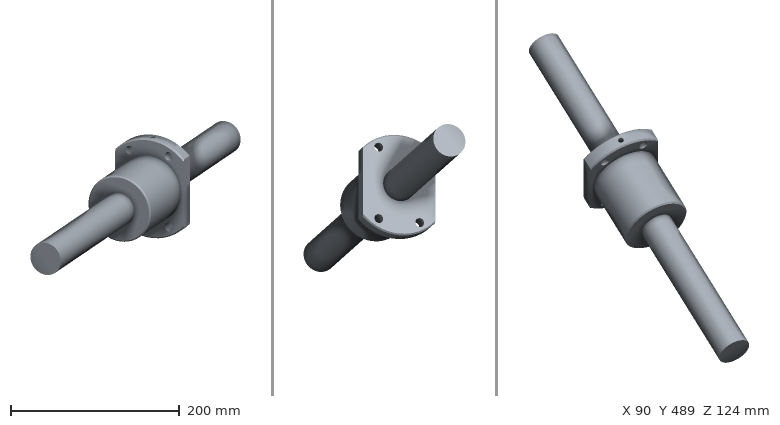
import cadquery as cq
import math

shaft_length = 489.0
shaft_diameter = 40.0

nut_front_y = -44.5
nut_length = 100.2
nut_diameter = 82.0
edge_chamfer = 1.7
flange_thickness = 18.0
flange_diameter = 124.0
flange_width = 90.0
flange_back_y = nut_front_y + nut_length
flange_front_y = flange_back_y - flange_thickness

bolt_hole_diameter = 11.0
bolt_circle_diameter = 102.0
bolt_angle = 30
bolt_spacing_x = bolt_circle_diameter * math.sin(math.radians(bolt_angle))
bolt_spacing_z = bolt_circle_diameter * math.cos(math.radians(bolt_angle))

port_y = flange_front_y + flange_thickness / 2
port_mouth_diameter = 8.0
port_diameter = 6.5
port_depth = 10.0
duct_diameter = 2.0


def cylinder_along_y(diameter, start_y, length):
    """Solid cylinder on the Y axis, growing toward +Y from start_y."""
    plane = cq.Plane(origin=(0, start_y, 0), xDir=(-1, 0, 0), normal=(0, 1, 0))
    return cq.Workplane(plane).circle(diameter / 2).extrude(length)


def cylinder_down_into_flange(diameter, depth):
    """Cylinder that goes down from the top of the flange at the port position."""
    plane = cq.Plane(origin=(0, port_y, flange_diameter / 2))
    return cq.Workplane(plane).circle(diameter / 2).extrude(-depth)


def port_countersink():
    """Cone at 45 degrees that opens the port to its mouth diameter."""
    mouth_radius = port_mouth_diameter / 2
    mouth = cq.Vector(0, port_y, flange_diameter / 2)
    return cq.Workplane(cq.Solid.makeCone(mouth_radius, 0, mouth_radius, mouth, cq.Vector(0, 0, -1)))


def make_flange():
    """Round flange with chamfered rims, two side flats and four bolt holes."""
    disc = cylinder_along_y(flange_diameter, flange_front_y, flange_thickness)
    disc = disc.edges("%CIRCLE").chamfer(edge_chamfer)
    flats = cq.Workplane("XY").box(flange_width, shaft_length, flange_diameter)
    return (
        disc.intersect(flats)
        .faces(">Y")
        .workplane(origin=(0, flange_back_y, 0))
        .rect(bolt_spacing_x, bolt_spacing_z, forConstruction=True)
        .vertices()
        .hole(bolt_hole_diameter)
    )


def make_nut():
    """Cylindrical nut with its flange, shaft bore and lubrication port."""
    barrel = cylinder_along_y(nut_diameter, nut_front_y, nut_length)
    barrel = barrel.faces("<Y").edges().chamfer(edge_chamfer)
    bore = cylinder_along_y(shaft_diameter, nut_front_y, nut_length)
    port = cylinder_down_into_flange(port_diameter, port_depth)
    duct = cylinder_down_into_flange(duct_diameter, flange_diameter / 2)
    return barrel.union(make_flange()).cut(bore).cut(port).cut(port_countersink()).cut(duct)


def make_shaft():
    """Plain round shaft that fills the nut's bore."""
    return cylinder_along_y(shaft_diameter, -shaft_length / 2, shaft_length)


nut = make_nut()
shaft = make_shaft()

result = cq.Compound.makeCompound([nut.val(), shaft.val()])